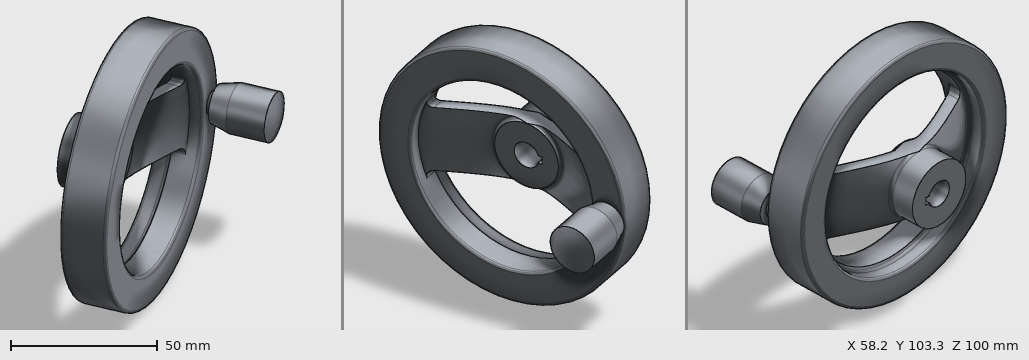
import cadquery as cq
import math


hub_radius = 13.0
hub_length = 17.3
bore_radius = 5.0
keyway_width = 3.0
keyway_reach = 6.4

rim_radius = 50.0
rim_front = 16.17
rim_width = 16.96
rim_back = rim_front + rim_width
recess_radius = 77.05 / 2
opening_radius = 37.0
rim_edge_round = 1.0

web_angle = 28.0
web_front_at_hub = 10.3
web_thickness = 5.0
web_fillet = 1.5
back_hub_fillet = 1.1

spoke_width = 2 * hub_radius
opening_corner_radius = 2.0

neck_radius = 8.64 / 2
neck_length = 1.87
knob_radius = 9.0
knob_small_radius = 7.1
knob_taper_length = 7.2
knob_length = 23.17
dome_height = 1.87
handle_offset = 44.26


def web_front(radius):
    """X of the front face of the web at a given radius."""
    return web_front_at_hub + (radius - hub_radius) * math.tan(math.radians(web_angle))


def web_back(radius):
    """X of the back face of the web at a given radius."""
    return web_front(radius) + web_thickness


def fillet_circles(body, size, circles):
    """Round the circular edges about the X axis given as (x, radius) pairs."""
    tolerance = 0.001

    def wanted(edge):
        if edge.geomType() != "CIRCLE":
            return False
        x = edge.Center().x
        radius = edge.radius()
        return any(abs(x - cx) < tolerance and abs(radius - cr) < tolerance for cx, cr in circles)

    return body.newObject(body.edges().filter(wanted).vals()).fillet(size)


def make_wheel_blank():
    """Hub, web and rim turned from the front, with the back still solid."""
    profile = [
        (0, 0),
        (0, hub_radius),
        (web_front(hub_radius), hub_radius),
        (web_front(recess_radius), recess_radius),
        (rim_front, recess_radius),
        (rim_front, rim_radius),
        (rim_back, rim_radius),
        (rim_back, 0),
    ]
    blank = cq.Workplane("XY").polyline(profile).close().revolve(360, (0, 0), (1, 0))
    rim_edges = [
        (rim_front, recess_radius),
        (rim_front, rim_radius),
        (rim_back, rim_radius),
    ]
    web_corners = [
        (web_front(hub_radius), hub_radius),
        (web_front(recess_radius), recess_radius),
    ]
    blank = fillet_circles(blank, rim_edge_round, rim_edges)
    return fillet_circles(blank, web_fillet, web_corners)


def make_back_pocket():
    """Space behind the web and hub, inside the rim."""
    profile = [
        (hub_length, 0),
        (hub_length, hub_radius),
        (web_back(hub_radius), hub_radius),
        (web_back(opening_radius), opening_radius),
        (rim_back, opening_radius),
        (rim_back, 0),
    ]
    pocket = cq.Workplane("XY").polyline(profile).close().revolve(360, (0, 0), (1, 0))
    return fillet_circles(pocket, back_hub_fillet, [(web_back(hub_radius), hub_radius)])


def make_opening(side):
    """Round-cornered circle segment beyond one edge of the spokes; side is +1 or -1."""
    chord_z = side * spoke_width / 2
    half_chord = math.sqrt(opening_radius**2 - chord_z**2)
    return (
        cq.Workplane("YZ")
        .moveTo(-half_chord, chord_z)
        .lineTo(half_chord, chord_z)
        .threePointArc((0, side * opening_radius), (-half_chord, chord_z))
        .close()
        .extrude(rim_back)
        .edges("|X")
        .fillet(opening_corner_radius)
    )


def make_rim_void():
    """Everything inside the rim opening except the hub and the two spokes."""
    inside = cq.Workplane("YZ").circle(opening_radius).extrude(rim_back)
    spokes = inside
    for side in (1, -1):
        spokes = spokes.cut(make_opening(side))
    hub_and_spokes = inside.cut(make_back_pocket()).intersect(spokes)
    return inside.cut(hub_and_spokes)


def make_bore():
    """Through bore with a keyway on its +Y side."""
    bore = cq.Workplane("YZ").circle(bore_radius).extrude(hub_length)
    keyway = cq.Workplane("YZ").rect(keyway_reach, keyway_width).extrude(hub_length)
    return bore.union(keyway.translate((0, keyway_reach / 2, 0)))


def make_handle():
    """Turned neck and tapered knob with a domed end, behind the rim."""
    knob_start = rim_back + neck_length
    taper_end = knob_start + knob_taper_length
    tip = knob_start + knob_length
    dome_start = tip - dome_height
    dome_radius = (knob_radius**2 + dome_height**2) / (2 * dome_height)
    half_angle = math.asin(knob_radius / dome_radius) / 2
    dome_middle = (
        tip - dome_radius * (1 - math.cos(half_angle)),
        dome_radius * math.sin(half_angle),
    )
    return (
        cq.Workplane("XY")
        .moveTo(rim_back, 0)
        .lineTo(rim_back, neck_radius)
        .lineTo(knob_start, neck_radius)
        .lineTo(knob_start, knob_small_radius)
        .lineTo(taper_end, knob_radius)
        .lineTo(dome_start, knob_radius)
        .threePointArc(dome_middle, (tip, 0))
        .close()
        .revolve(360, (0, 0), (1, 0))
        .translate((0, handle_offset, 0))
    )


wheel = make_wheel_blank().cut(make_rim_void())
wheel = fillet_circles(wheel, rim_edge_round, [(rim_back, opening_radius)])
wheel = wheel.cut(make_bore())

result = wheel.union(make_handle())